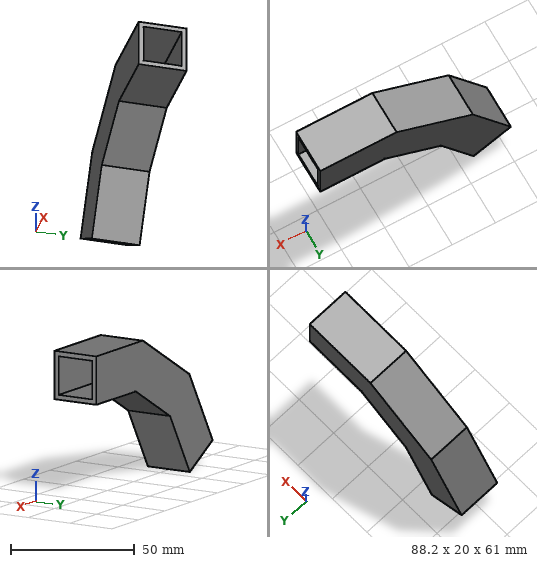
import cadquery as cq
import math

tube_size = 20.0
wall = 2.0
bend_angle = 30.0
end_length = 35.3
middle_length = end_length / math.cos(math.radians(bend_angle))


def step(point, length, angle):
    """Move from an XZ point by a length along an angle in degrees."""
    turn = math.radians(angle)
    return (point[0] + length * math.cos(turn), point[1] + length * math.sin(turn))


level_end = (end_length, 0)
upper_bend = (0, 0)
lower_bend = step(upper_bend, middle_length, 180 + bend_angle)
steep_end = step(lower_bend, end_length, 180 + 2 * bend_angle)


def edge_at_depth(depth):
    """Tube path at a depth below the outer edge, mitred at each bend."""
    mitre_depth = depth / math.cos(math.radians(bend_angle / 2))
    return [
        step(level_end, depth, -90),
        step(upper_bend, mitre_depth, -90 + bend_angle / 2),
        step(lower_bend, mitre_depth, -90 + 1.5 * bend_angle),
        step(steep_end, depth, -90 + 2 * bend_angle),
    ]


def bent_bar(inset):
    """Solid bent bar whose four sides lie inset from the tube's outer sides."""
    upper_edge = edge_at_depth(inset)
    lower_edge = edge_at_depth(tube_size - inset)
    outline = upper_edge + lower_edge[::-1]
    half_width = tube_size / 2 - inset
    return cq.Workplane("XZ").polyline(outline).close().extrude(half_width, both=True)


tube = bent_bar(0)
bore = bent_bar(wall)
result = tube.cut(bore)